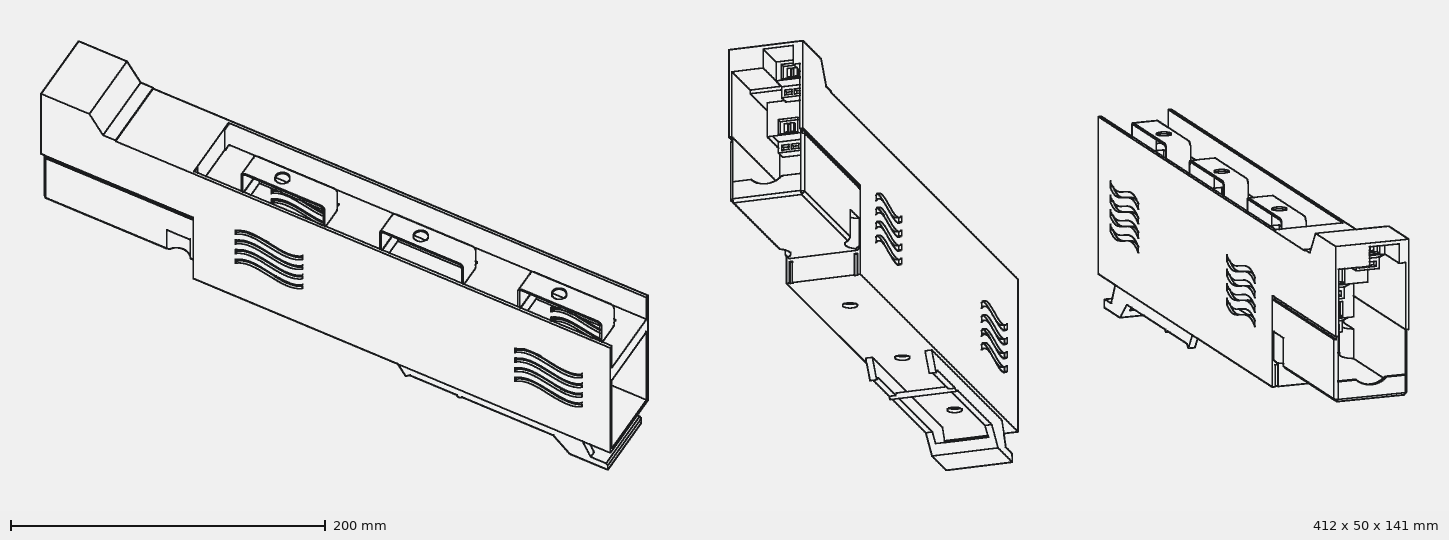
import cadquery as cq

LENGTH = 412.0
WIDTH = 50.0
HEIGHT = 141.0
HALF_WIDTH = WIDTH / 2
WALL = 2.0
INNER_HALF = HALF_WIDTH - WALL

BASE_Z = 21.5
TRAY_TOP_Z = 81.5
DECK_Z = 103.5
DECK_THICKNESS = 12.5
BASE_THICKNESS = 2.5
LID_UNDERSIDE_Z = 123.0
RIM_Z = 125.0
HEAD_UNDERSIDE_Z = 125.5
HEAD_TOP_END_X = 35.0
HEAD_FOOT_X = 45.0
LID_START_X = 54.0
LID_END_X = 109.5
BULKHEAD_X = 110.0
BULKHEAD_THICKNESS = 2.5
BULKHEAD_SLOT_WIDTH = 2.0
BULKHEAD_SLOT_TOP_Z = 36.0
BULKHEAD_SLOT_DEPTH = 1.2

BLOCK_HALF = 18.0
UPPER_STEP_Z = 100.0
LOWER_STEP_X = 78.3
LOWER_STEP_Z = 71.3

HEAD_NOTCH_DEPTH = 24.7
HEAD_NOTCH_WIDTH = 20.0
HEAD_NOTCH_HEIGHT = 12.8
HEAD_TERMINAL_Y = -8.2
TERMINALS = [
    (HEAD_NOTCH_DEPTH, HEAD_TERMINAL_Y, HEAD_UNDERSIDE_Z),
    (LID_START_X, 4.0, UPPER_STEP_Z),
    (LOWER_STEP_X, -4.0, LOWER_STEP_Z),
]
WINDOW_WIDTH = 13.0
WINDOW_HEIGHT = 10.7
WINDOW_SILL = 1.0
WINDOW_DEPTH = 4.0
SCREW_WIDTH = 6.5
SCREW_HEIGHT = 5.8
SCREW_Z = 2.5
SCREW_SLOT_WIDTH = 1.5
LUG_DEPTH = 8.2
FLARE_TOP_WIDTH = 20.5
LUG_WIDTH = 15.5
FLARE_HEIGHT = 3.0
LUG_HEIGHT = 10.5
CLAMP_HOLE_COUNT = 2
CLAMP_HOLE_WIDTH = 5.0
CLAMP_HOLE_PITCH = 6.5
CLAMP_HOLE_HEIGHT = 3.5
CLAMP_HOLE_MARGIN = 1.5

STRAP_FIRST_X = 166.0
STRAP_PITCH = 100.0
STRAP_COUNT = 3
STRAP_LENGTH = 60.5
STRAP_WIDTH = 16.5
STRAP_TOP_Z = 123.5
STRAP_THICKNESS = 1.2
STRAP_BEND_RADIUS = 3.5
OPENING_LENGTH = 57.5
OPENING_WIDTH = 26.5
BOLT_HOLE_DIAMETER = 9.5
BOLT_HOLE_OFFSET = -5.0

VENT_GROUPS = [(140.5, 55.5), (342.8, 54.5)]
VENT_COUNT = 4
VENT_PITCH = 9.5
VENT_HEIGHT = 3.7
VENT_WAVE = [(0, 0), (12.0, 4.0), (36.5, -1.0), (48.5, 3.0)]

TRAY_FRONT_X = 1.2
TRAY_BOTTOM_Z = 38.0
TRAY_FLOOR_Z = 40.5
LIP_TOP_Z = 51.5
LIP_THICKNESS = 2.0
TRAY_CHAMFER = 2.0
TRAY_BACK_WALL = 2.5
RIM_GROOVE_HEIGHT = 2.5
RIM_GROOVE_DEPTH = 1.2
DIP_WIDTH = 20.5
DIP_DEPTH = 4.0
GRIP_START_X = 91.0
GRIP_END_X = 108.0
GRIP_DEPTH = 6.0
GRIP_SKIN = 1.2
GRIP_TOP_Z = 58.5

LATCH_HALF = 22.2
LATCH_RAIL = 4.5
LATCH_START_X = 254.0
LATCH_TIP_X = 262.5
LATCH_TIP_Z = 9.0
LATCH_UNDERSIDE_X = 265.5
LATCH_UNDERSIDE_Z = 11.5
LATCH_DROP_X = 369.0
HANDLE_START_X = 381.0
HANDLE_END_X = 408.5
HANDLE_INNER_X = 396.5
HANDLE_THICKNESS = 5.8
LATCH_END_X = 388.5
CROSSBAR_X = 301.0
CROSSBAR_Z = 12.0
CROSSBAR_DIAMETER = 3.7
HANDLE_CHAMFER = 1.2


def block(x0, x1, y0, y1, z0, z1):
    """Axis-aligned box between two opposite corners."""
    return cq.Workplane("XY").box(x1 - x0, y1 - y0, z1 - z0, centered=False).translate((x0, y0, z0))


def side_plate(points, half_width):
    """Extrude an X-Z outline symmetrically across the part."""
    return cq.Workplane("XZ").polyline(points).close().extrude(half_width, both=True)


def shell():
    """Side walls, raised head, lid, deck, bulkhead and bottom plate."""
    outline = [
        (0, TRAY_TOP_Z),
        (0, HEIGHT),
        (HEAD_TOP_END_X, HEIGHT),
        (HEAD_FOOT_X, HEAD_UNDERSIDE_Z),
        (LID_START_X, HEAD_UNDERSIDE_Z),
        (LID_START_X, RIM_Z),
        (LENGTH, RIM_Z),
        (LENGTH, BASE_Z),
        (BULKHEAD_X, BASE_Z),
        (BULKHEAD_X, TRAY_TOP_Z),
    ]
    body = side_plate(outline, HALF_WIDTH)
    bulkhead_back = BULKHEAD_X + BULKHEAD_THICKNESS
    cavities = [
        (0, HEAD_TOP_END_X, TRAY_TOP_Z, HEAD_UNDERSIDE_Z),
        (HEAD_TOP_END_X, BULKHEAD_X, TRAY_TOP_Z, LID_UNDERSIDE_Z),
        (LID_END_X, LENGTH, DECK_Z, RIM_Z),
        (bulkhead_back, LENGTH, BASE_Z + BASE_THICKNESS, DECK_Z - DECK_THICKNESS),
    ]
    for x0, x1, z0, z1 in cavities:
        body = body.cut(block(x0, x1, -INNER_HALF, INNER_HALF, z0, z1))
    slot_end_x = BULKHEAD_X + BULKHEAD_SLOT_DEPTH
    for slot_y in (-INNER_HALF, INNER_HALF - BULKHEAD_SLOT_WIDTH):
        slot_end_y = slot_y + BULKHEAD_SLOT_WIDTH
        body = body.cut(block(BULKHEAD_X, slot_end_x, slot_y, slot_end_y, BASE_Z, BULKHEAD_SLOT_TOP_Z))
    return body


def terminal_block():
    """Two-step block hanging under the lid in front of the bulkhead."""
    upper = block(LID_START_X, LID_END_X, -BLOCK_HALF, BLOCK_HALF, UPPER_STEP_Z, LID_UNDERSIDE_Z)
    lower_back_x = BULKHEAD_X - TRAY_BACK_WALL
    lower = block(LOWER_STEP_X, lower_back_x, -BLOCK_HALF, BLOCK_HALF, LOWER_STEP_Z, UPPER_STEP_Z)
    bridge = block(LOWER_STEP_X, BULKHEAD_X, -BLOCK_HALF, BLOCK_HALF, TRAY_TOP_Z, DECK_Z)
    return upper.union(lower).union(bridge)


def head_notch():
    """Access notch through the front of the head, open downwards."""
    y0 = HEAD_TERMINAL_Y - HEAD_NOTCH_WIDTH / 2
    z1 = HEAD_UNDERSIDE_Z + HEAD_NOTCH_HEIGHT
    return block(0, HEAD_NOTCH_DEPTH, y0, y0 + HEAD_NOTCH_WIDTH, HEAD_UNDERSIDE_Z, z1)


def terminal_window(face_x, y, edge_z):
    """Screw access recess above the lower edge of a terminal face."""
    half = WINDOW_WIDTH / 2
    z0 = edge_z + WINDOW_SILL
    z1 = edge_z + WINDOW_HEIGHT
    return block(face_x, face_x + WINDOW_DEPTH, y - half, y + half, z0, z1)


def terminal_lug(face_x, y, edge_z):
    """Screw head in the recess and the flared clamp hanging below the face."""
    lug_x = face_x + WINDOW_DEPTH
    half = LUG_WIDTH / 2
    flare_z = edge_z - FLARE_HEIGHT
    outline = [
        (y - FLARE_TOP_WIDTH / 2, edge_z),
        (y + FLARE_TOP_WIDTH / 2, edge_z),
        (y + half, flare_z),
        (y + half, edge_z - LUG_HEIGHT),
        (y - half, edge_z - LUG_HEIGHT),
        (y - half, flare_z),
    ]
    lug_end_x = lug_x + LUG_DEPTH
    lug = cq.Workplane("YZ").polyline(outline).close().extrude(lug_end_x)
    side = [
        (face_x, edge_z),
        (lug_x, flare_z),
        (lug_x, edge_z - LUG_HEIGHT),
        (lug_end_x, edge_z - LUG_HEIGHT),
        (lug_end_x, edge_z),
    ]
    lug = lug.intersect(side_plate(side, HALF_WIDTH))
    hole_z = edge_z - LUG_HEIGHT + CLAMP_HOLE_MARGIN
    hole_end_x = lug_x + LUG_DEPTH / 2
    first_hole_y = y - (CLAMP_HOLE_PITCH * (CLAMP_HOLE_COUNT - 1) + CLAMP_HOLE_WIDTH) / 2
    for i in range(CLAMP_HOLE_COUNT):
        hole_y = first_hole_y + i * CLAMP_HOLE_PITCH
        hole_end_y = hole_y + CLAMP_HOLE_WIDTH
        lug = lug.cut(block(lug_x, hole_end_x, hole_y, hole_end_y, hole_z, hole_z + CLAMP_HOLE_HEIGHT))
    screw_half = SCREW_WIDTH / 2
    screw_z = edge_z + SCREW_Z
    screw_x = face_x + WINDOW_DEPTH / 2
    screw = block(screw_x, lug_x, y - screw_half, y + screw_half, screw_z, screw_z + SCREW_HEIGHT)
    slot_half = SCREW_SLOT_WIDTH / 2
    slot_end_x = screw_x + WINDOW_DEPTH / 4
    slot_top_z = screw_z + SCREW_HEIGHT
    slot = block(screw_x, slot_end_x, y - slot_half, y + slot_half, screw_z, slot_top_z)
    return lug.union(screw.cut(slot))


def strap(center_x):
    """Bent strap standing on the two ends of a deck opening."""
    x0 = center_x - STRAP_LENGTH / 2
    x1 = center_x + STRAP_LENGTH / 2
    half = STRAP_WIDTH / 2
    outer = block(x0, x1, -half, half, DECK_Z, STRAP_TOP_Z)
    outer = outer.edges("|Y and >Z").fillet(STRAP_BEND_RADIUS)
    inner_top = STRAP_TOP_Z - STRAP_THICKNESS
    inner = block(x0 + STRAP_THICKNESS, x1 - STRAP_THICKNESS, -half, half, DECK_Z, inner_top)
    inner = inner.edges("|Y and >Z").fillet(STRAP_BEND_RADIUS - STRAP_THICKNESS)
    return outer.cut(inner)


def deck_opening(center_x):
    """Rectangular opening in the deck below a strap."""
    x0 = center_x - OPENING_LENGTH / 2
    x1 = center_x + OPENING_LENGTH / 2
    half = OPENING_WIDTH / 2
    return block(x0, x1, -half, half, DECK_Z - DECK_THICKNESS, DECK_Z)


def bolt_hole(center_x):
    """Vertical bolt hole through a strap and the bottom plate."""
    hole = cq.Workplane("XY").circle(BOLT_HOLE_DIAMETER / 2).extrude(HEIGHT)
    return hole.translate((center_x + BOLT_HOLE_OFFSET, 0, 0))


def vent_slot(x, z):
    """One wavy slot through both side walls."""
    lower = [(x + dx, z + dz - VENT_HEIGHT / 2) for dx, dz in VENT_WAVE]
    upper = [(px, pz + VENT_HEIGHT) for px, pz in reversed(lower)]
    outline = cq.Workplane("XZ").moveTo(*lower[0]).spline(lower[1:], includeCurrent=True)
    outline = outline.lineTo(*upper[0]).spline(upper[1:], includeCurrent=True).close()
    return outline.extrude(WIDTH, both=True)


def make_housing():
    body = shell().union(terminal_block()).cut(head_notch())
    for place in TERMINALS:
        body = body.cut(terminal_window(*place)).union(terminal_lug(*place))
    for i in range(STRAP_COUNT):
        center_x = STRAP_FIRST_X + i * STRAP_PITCH
        body = body.cut(deck_opening(center_x)).union(strap(center_x)).cut(bolt_hole(center_x))
    for x, z in VENT_GROUPS:
        for i in range(VENT_COUNT):
            body = body.cut(vent_slot(x, z + i * VENT_PITCH))
    return body


def grip_prism(inset, top_z):
    """Arc-shaped finger recess on the -Y side; the inset grows it inwards to form its skin."""
    outer_y = -HALF_WIDTH
    middle_x = (GRIP_START_X + GRIP_END_X) / 2
    profile = (
        cq.Workplane("XY")
        .moveTo(GRIP_START_X, outer_y)
        .threePointArc((middle_x, outer_y + GRIP_DEPTH), (GRIP_END_X, outer_y))
        .close()
    )
    if inset:
        profile = profile.offset2D(inset)
    return profile.extrude(top_z - TRAY_BOTTOM_Z).translate((0, 0, TRAY_BOTTOM_Z))


def make_tray():
    outer = block(TRAY_FRONT_X, BULKHEAD_X, -HALF_WIDTH, HALF_WIDTH, TRAY_BOTTOM_Z, TRAY_TOP_Z)
    outer = outer.edges("(<X and (not >Z)) or (<Z and |X)").chamfer(TRAY_CHAMFER)
    cavity_end_x = BULKHEAD_X - TRAY_BACK_WALL
    body = outer.cut(block(0, cavity_end_x, -INNER_HALF, INNER_HALF, TRAY_FLOOR_Z, TRAY_TOP_Z))

    lip_end_x = TRAY_FRONT_X + LIP_THICKNESS
    lip = block(TRAY_FRONT_X, lip_end_x, -INNER_HALF, INNER_HALF, TRAY_FLOOR_Z, LIP_TOP_Z)
    dip = (
        cq.Workplane("YZ")
        .moveTo(-DIP_WIDTH / 2, LIP_TOP_Z)
        .threePointArc((0, LIP_TOP_Z - DIP_DEPTH), (DIP_WIDTH / 2, LIP_TOP_Z))
        .close()
        .extrude(lip_end_x)
    )
    body = body.union(lip.cut(dip))

    groove_y = HALF_WIDTH - RIM_GROOVE_DEPTH
    groove = block(0, BULKHEAD_X, -HALF_WIDTH, -groove_y, TRAY_TOP_Z - RIM_GROOVE_HEIGHT, TRAY_TOP_Z)
    skin = grip_prism(GRIP_SKIN, GRIP_TOP_Z + GRIP_SKIN).intersect(outer)
    recess = grip_prism(0, GRIP_TOP_Z)
    for side in (skin, skin.mirror("XZ")):
        body = body.union(side)
    for side in (groove, groove.mirror("XZ"), recess, recess.mirror("XZ")):
        body = body.cut(side)
    return body


def make_latch():
    outline = [
        (LATCH_START_X, BASE_Z),
        (LATCH_TIP_X, LATCH_TIP_Z),
        (LATCH_UNDERSIDE_X, LATCH_UNDERSIDE_Z),
        (LATCH_DROP_X, LATCH_UNDERSIDE_Z),
        (HANDLE_START_X, 0),
        (HANDLE_END_X, 0),
        (HANDLE_END_X, HANDLE_THICKNESS - HANDLE_CHAMFER),
        (HANDLE_END_X - HANDLE_CHAMFER, HANDLE_THICKNESS),
        (HANDLE_INNER_X, HANDLE_THICKNESS),
        (LATCH_END_X, BASE_Z),
    ]
    body = side_plate(outline, LATCH_HALF)
    rail_inner = LATCH_HALF - LATCH_RAIL
    body = body.cut(block(LATCH_START_X, LENGTH, -rail_inner, rail_inner, HANDLE_THICKNESS, BASE_Z))
    crossbar = cq.Workplane("XZ").circle(CROSSBAR_DIAMETER / 2).extrude(LATCH_HALF, both=True)
    return body.union(crossbar.translate((CROSSBAR_X, 0, CROSSBAR_Z)))


housing = make_housing()
tray = make_tray()
latch = make_latch()

result = cq.Compound.makeCompound([housing.solids().val(), tray.solids().val(), latch.solids().val()])